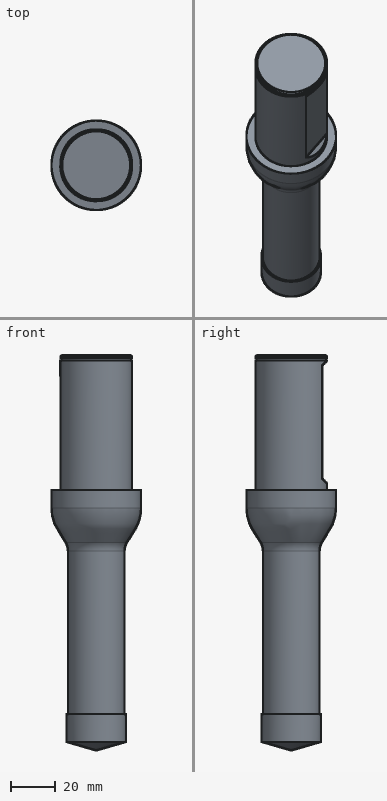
import cadquery as cq
import math

total_height = 176.0

head_radius = 26.5 / 2
head_cone_height = 3.9
head_top = 16.2

neck_radius = 25.3 / 2
neck_top = 88.9
flare_angle = math.radians(30)
neck_blend_radius = 7.4

flange_radius = 40.0 / 2
flange_bottom = 107.9
flange_top = 116.0

shank_radius = 32.0 / 2
rim_chamfer_width = 0.9
rim_chamfer_height = 0.7
groove_depth = 0.5
groove_top = total_height - 1.2
groove_bottom = total_height - 2.5

flat_distance = 13.9
flat_bottom = 121.0
flat_top = 171.5


def arc_point(center_r, center_z, radius, angle):
    """Point (r, z) on an arc, with the angle measured up from +R."""
    return (center_r + radius * math.cos(angle), center_z + radius * math.sin(angle))


def make_head():
    """Short cylinder with a conical drill point."""
    return (
        cq.Workplane("XZ")
        .moveTo(0, 0)
        .lineTo(head_radius, head_cone_height)
        .lineTo(head_radius, head_top)
        .lineTo(0, head_top)
        .close()
        .revolve(360, (0, 0), (0, 1))
    )


def make_turned_holder():
    """Neck, flare, flange and grooved shank as one turned solid."""
    neck_center = neck_radius + neck_blend_radius
    neck_blend_mid = arc_point(neck_center, neck_top, neck_blend_radius, math.pi - flare_angle / 2)
    flare_start = arc_point(neck_center, neck_top, neck_blend_radius, math.pi - flare_angle)

    flare_start_direction = (math.sin(flare_angle), math.cos(flare_angle))
    flare_end_direction = (0, 1)

    groove_radius = shank_radius - groove_depth
    return (
        cq.Workplane("XZ")
        .moveTo(0, head_top)
        .lineTo(neck_radius, head_top)
        .lineTo(neck_radius, neck_top)
        .threePointArc(neck_blend_mid, flare_start)
        .spline(
            [(flange_radius, flange_bottom)],
            tangents=[flare_start_direction, flare_end_direction],
            includeCurrent=True,
        )
        .lineTo(flange_radius, flange_top)
        .lineTo(shank_radius, flange_top)
        .lineTo(shank_radius, groove_bottom)
        .lineTo(groove_radius, groove_bottom)
        .lineTo(groove_radius, groove_top)
        .lineTo(shank_radius, groove_top)
        .lineTo(shank_radius, total_height - rim_chamfer_height)
        .lineTo(shank_radius - rim_chamfer_width, total_height)
        .lineTo(0, total_height)
        .close()
        .revolve(360, (0, 0), (0, 1))
    )


def make_flat_cutter():
    """Trapezoidal prism that removes the clamping flat, ending at the shank surface."""
    flat_depth = shank_radius - flat_distance
    return (
        cq.Workplane("YZ")
        .moveTo(flat_distance, flat_bottom)
        .lineTo(shank_radius, flat_bottom - flat_depth)
        .lineTo(shank_radius, flat_top + flat_depth)
        .lineTo(flat_distance, flat_top)
        .close()
        .extrude(shank_radius, both=True)
    )


head = make_head()
holder = make_turned_holder().cut(make_flat_cutter())

result = cq.Compound.makeCompound([head.val(), holder.val()])